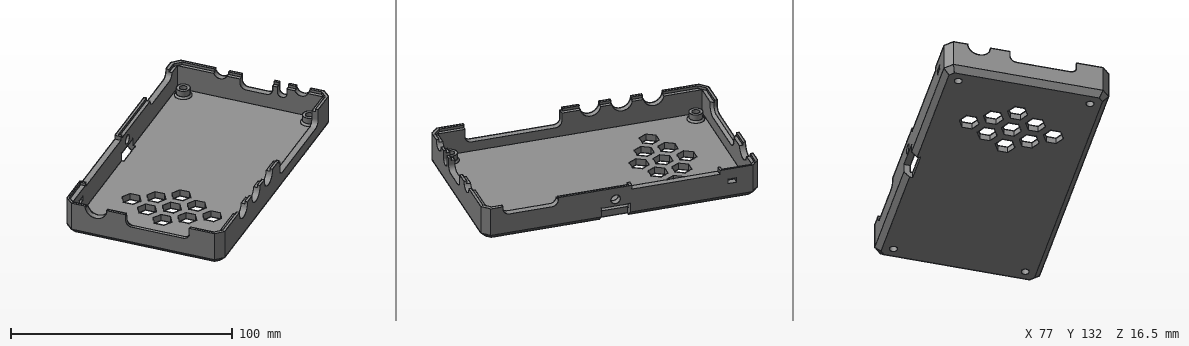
import cadquery as cq
import math

width = 77.0
length = 132.0
height = 16.5
wall = 3.0
floor = 3.3
corner_chamfer = 3.5
base_chamfer = 2.6
half_width = width / 2
half_length = length / 2
inner_x = half_width - wall
inner_y = half_length - wall

ledge_depth = 1.3
ledge_inset = 1.3
ledge_inset_left_back = 1.65
ledge_inset_left_front = 0.8
ledge_corner_chamfer = 3.0
ledge_z = height - ledge_depth
ledge_x = half_width - ledge_inset
ledge_y = half_length - ledge_inset
back_ledge_start = 39.6
front_ledge_end = -47.9
left_ledge = (-3.5, 30.4)
right_ledge_end = 2.9

notch_radius = 3.0
front_notch = (-8.5, 22.6)
front_sill = 10.5
front_bevel = 1.5
front_scallop_x = -23.0
front_scallop_radius = 5.3
back_notch = (-4.9, 11.0)
back_sill = 10.0
back_slot = (13.3, 18.0)
back_slot_sill = 10.3
back_slot_radius = 2.1
back_scallops_x = (-14.5, 25.01)
back_scallop_radius = 3.4
right_notch = (3.8, 49.9)
right_sill = 8.0
right_scallop_count = 3
right_scallop_y = -9.9
right_scallop_pitch = 15.0
right_scallop_z = 16.0
right_scallop_radius = 4.9
left_notch = (30.2, 56.5)
left_sill = 12.3
left_step = (-46.9, -4.9)
left_step_z = 14.5
left_window = (-54.8, -50.7)
left_window_bottom = 9.0
left_window_top = 11.2
left_hole_y = 2.9
left_hole_z = 10.5
left_hole_diameter = 4.5

recess_y = (-4.1, 9.8)
recess_reach = 4.1
recess_top = 7.1

post_x = 30.8
post_y = 58.5
post_diameter = 6.3
post_height = 3.8
post_hole_diameter = 3.5
foot_diameter = 8.0
foot_height = 0.9

vent_across_corners = 9.2
vent_pitch = 11.4
vent_x = 0.7
vent_y = -32.7
vents_per_side = 3


def box(x_range, y_range, z_range):
    """Axis-aligned block between pairs of coordinates."""
    size = [end - start for start, end in (x_range, y_range, z_range)]
    corner = (x_range[0], y_range[0], z_range[0])
    return cq.Workplane("XY").box(*size, centered=False).translate(corner)


def chamfered_plate(x_range, y_range, z_range, chamfer):
    """Plate with its four upright edges chamfered."""
    return box(x_range, y_range, z_range).edges("|Z").chamfer(chamfer)


def place_on_wall(cutter, side):
    """Move a cutter from a wall centred on y = 0 to the named wall of the tray."""
    wall_x = half_width - wall / 2
    wall_y = half_length - wall / 2
    if side == "front":
        return cutter.translate((0, -wall_y, 0))
    if side == "back":
        return cutter.translate((0, wall_y, 0))
    turned = cutter.rotate((0, 0, 0), (0, 0, 1), 90)
    if side == "right":
        return turned.translate((wall_x, 0, 0))
    return turned.translate((-wall_x, 0, 0))


def notch_block(x_range, y_range, sill, radius):
    """Block reaching past the rim, with rounded lower corners."""
    block = box(x_range, y_range, (sill, 2 * height))
    return block.edges("|Y and <Z").fillet(radius)


def rounded_notch(side, span, sill, radius=notch_radius):
    """Cutter for a notch open at the rim, with rounded lower corners."""
    return place_on_wall(notch_block(span, (-wall, wall), sill, radius), side)


def square_opening(side, span, bottom, top):
    """Cutter for an opening with sharp corners."""
    return place_on_wall(box(span, (-wall, wall), (bottom, top)), side)


def round_opening(side, position, z, radius):
    """Cutter for a round hole, or for a scallop when centred near the rim."""
    cutter = cq.Workplane("XZ").center(position, z).circle(radius).extrude(wall, both=True)
    return place_on_wall(cutter, side)


def end_ledge(left_inset, y_range):
    """Cutter for the rim step around one end of the tray."""
    x_range = (-half_width + left_inset, ledge_x)
    plate = chamfered_plate(x_range, (-ledge_y, ledge_y), (ledge_z, height), ledge_corner_chamfer)
    return plate.intersect(box((-half_width, half_width), y_range, (0, height)))


def screw_post():
    """Round post on a conical foot, standing on z = 0."""
    post = cq.Workplane("XY").circle(post_diameter / 2).extrude(post_height)
    foot = cq.Workplane("XY").circle(foot_diameter / 2)
    foot = foot.workplane(offset=foot_height).circle(post_diameter / 2).loft()
    return post.union(foot)


x_span = (-half_width, half_width)
y_span = (-half_length, half_length)
result = chamfered_plate(x_span, y_span, (0, height), corner_chamfer)
result = result.faces("<Z").chamfer(base_chamfer)
result = result.cut(box((-inner_x, inner_x), (-inner_y, inner_y), (floor, height)))

result = result.cut(end_ledge(ledge_inset_left_back, (back_ledge_start, half_length)))
result = result.cut(end_ledge(ledge_inset_left_front, (-half_length, front_ledge_end)))
result = result.cut(box((-ledge_x, 0), left_ledge, (ledge_z, height)))
result = result.cut(box((0, ledge_x), (front_ledge_end, right_ledge_end), (ledge_z, height)))

mouth_span = (front_notch[0] - front_bevel, front_notch[1] + front_bevel)
mouth_depth = (wall / 2 - front_bevel, wall)
mouth = notch_block(mouth_span, mouth_depth, front_sill - front_bevel, notch_radius + front_bevel)
mouth = mouth.faces("<Y").chamfer(front_bevel)
result = result.cut(rounded_notch("front", front_notch, front_sill))
result = result.cut(place_on_wall(mouth, "front"))
result = result.cut(round_opening("front", front_scallop_x, height, front_scallop_radius))

result = result.cut(rounded_notch("back", back_notch, back_sill))
result = result.cut(rounded_notch("back", back_slot, back_slot_sill, back_slot_radius))
for scallop_x in back_scallops_x:
    result = result.cut(round_opening("back", scallop_x, height, back_scallop_radius))

result = result.cut(rounded_notch("right", right_notch, right_sill))
result = result.cut(square_opening("right", (right_ledge_end, right_notch[1]), ledge_z, height))
for i in range(right_scallop_count):
    scallop_y = right_scallop_y - i * right_scallop_pitch
    result = result.cut(round_opening("right", scallop_y, right_scallop_z, right_scallop_radius))

result = result.cut(rounded_notch("left", left_notch, left_sill))
result = result.cut(square_opening("left", left_step, left_step_z, height))
result = result.cut(square_opening("left", left_window, left_window_bottom, left_window_top))
result = result.cut(round_opening("left", left_hole_y, left_hole_z, left_hole_diameter / 2))
result = result.cut(box((-half_width, -half_width + recess_reach), recess_y, (0, recess_top)))

post_hole = cq.Workplane("XY").circle(post_hole_diameter / 2).extrude(height)
for x in (-post_x, post_x):
    for y in (-post_y, post_y):
        result = result.union(screw_post().translate((x, y, floor)))
        result = result.cut(post_hole.translate((x, y, 0)))

vent = cq.Workplane("XY").polygon(6, vent_across_corners).extrude(height)
column_pitch = vent_pitch * math.sqrt(3) / 2
for i in range(vents_per_side):
    for j in range(vents_per_side):
        x = vent_x + (i - j) * column_pitch
        y = vent_y + (i + j - vents_per_side + 1) * vent_pitch / 2
        result = result.cut(vent.translate((x, y, 0)))